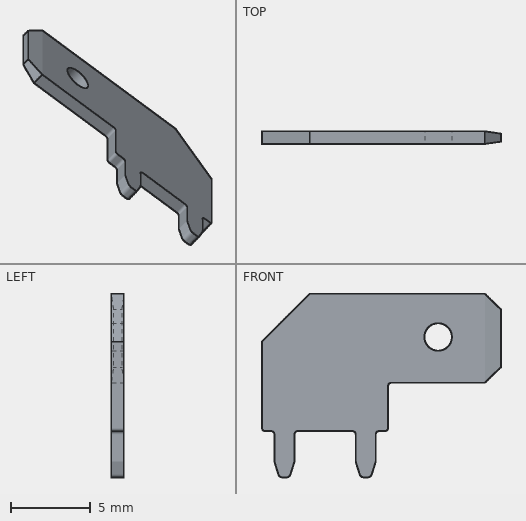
import cadquery as cq

length = 14.96
height = 11.5
thickness = 0.81

body_width = 7.9
blade_height = 5.58
pin_length = 2.9
corner_chamfer = 2.99
corner_radius = 0.2

tip_length = 1.02
tip_inset = 0.99
tip_bevel_depth = 0.15

hole_diameter = 1.7
hole_from_left = 11.03
hole_below_top = 2.71

pin_width = 1.27
first_pin_center = 1.4
pin_spacing = 5.09
pin_taper_length = 1.0
pin_taper_inset = 0.31
pin_tip_radius = 0.3

pin_centers = [first_pin_center, first_pin_center + pin_spacing]
body_bottom = pin_length
blade_bottom = height - blade_height
tip_start = length - tip_length


def pin_points(center):
    """Outline of one pin, from its left root to its right root."""
    half_width = pin_width / 2
    half_tip = half_width - pin_taper_inset
    return [
        (center - half_width, body_bottom),
        (center - half_width, pin_taper_length),
        (center - half_tip, 0),
        (center + half_tip, 0),
        (center + half_width, pin_taper_length),
        (center + half_width, body_bottom),
    ]


def round_corner(plate, x, z, radius):
    """Round the through-thickness edge at one outline corner."""
    margin = 0.01
    corner = cq.selectors.BoxSelector(
        (x - margin, -thickness, z - margin),
        (x + margin, thickness, z + margin),
    )
    return plate.edges("|Y").edges(corner).fillet(radius)


def make_plate():
    """Flat L-shaped blank with both pins and rounded corners."""
    pin_outlines = [pin_points(center) for center in pin_centers]
    outline = [(0, body_bottom)]
    for points in pin_outlines:
        outline += points
    outline += [
        (body_width, body_bottom),
        (body_width, blade_bottom),
        (tip_start, blade_bottom),
        (length, blade_bottom + tip_inset),
        (length, height - tip_inset),
        (tip_start, height),
        (corner_chamfer, height),
        (0, height - corner_chamfer),
    ]
    plate = cq.Workplane("XZ").polyline(outline).close().extrude(thickness / 2, both=True)

    rounded_corners = [(0, body_bottom), (body_width, body_bottom), (body_width, blade_bottom)]
    for points in pin_outlines:
        rounded_corners += [points[0], points[-1]]
    for x, z in rounded_corners:
        plate = round_corner(plate, x, z, corner_radius)
    for points in pin_outlines:
        for x, z in points[2:4]:
            plate = round_corner(plate, x, z, pin_tip_radius)
    return plate


def make_tip_bevel(side):
    """Wedge removed from the blade tip on the +Y (1) or -Y (-1) face."""
    face_y = side * thickness / 2
    return (
        cq.Workplane("XY")
        .polyline([
            (tip_start, face_y),
            (length, face_y),
            (length, face_y - side * tip_bevel_depth),
        ])
        .close()
        .extrude(height)
    )


def make_hole():
    """Cylinder through the blade."""
    return (
        cq.Workplane("XZ")
        .center(hole_from_left, height - hole_below_top)
        .circle(hole_diameter / 2)
        .extrude(thickness, both=True)
    )


result = make_plate().cut(make_hole())
for side in (1, -1):
    result = result.cut(make_tip_bevel(side))